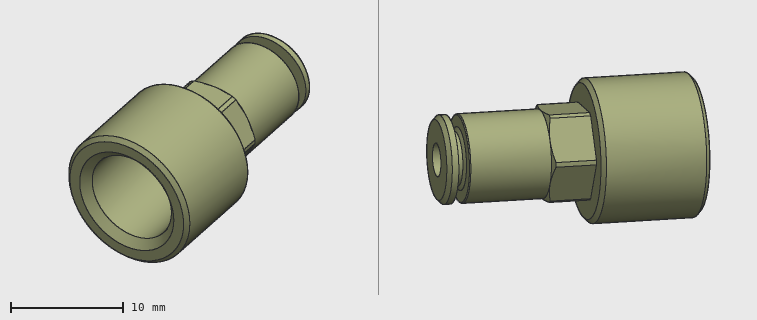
import cadquery as cq
import math


socket_diameter = 13.0
socket_length = 10.0
socket_chamfer = 0.4

hex_across_flats = 8.0
hex_corner_diameter = 9.0
hex_length = 4.0
hex_chamfer_angle = 30.0

sleeve_diameter = 8.0
sleeve_length = 7.5
sleeve_chamfer = 0.1
neck_diameter = 4.9
neck_length = 1.0
neck_fillet = 0.3
neck_cone_base_diameter = 5.7
neck_cone_slope = 30.0
ring_diameter = 8.0
ring_thickness = 1.0
ring_chamfer = 0.4

mouth_diameter = 10.1
mouth_chamfer_angle = 45.0
socket_bore_diameter = 8.5
socket_bore_depth = 8.5
floor_cone_angle = 135.0
through_bore_diameter = 3.0

hex_start = socket_length
sleeve_start = hex_start + hex_length
neck_start = sleeve_start + sleeve_length
ring_start = neck_start + neck_length
overall_length = ring_start + ring_thickness


def revolve_about_y(profile):
    """Close a radius-versus-Y profile and turn it a full circle about the Y axis."""
    return profile.close().revolve(360, (0, 0, 0), (0, 1, 0))


def cylinder_y(diameter, start, length):
    """Solid cylinder along +Y beginning at Y = start."""
    return cq.Workplane("XZ", origin=(0, start, 0)).circle(diameter / 2).extrude(-length)


def make_socket():
    """Large round body, chamfered at both ends."""
    return cylinder_y(socket_diameter, 0, socket_length).faces("<Y or >Y").chamfer(socket_chamfer)


def make_hex():
    """Hexagon with flats facing +Z and -Z, its corners turned round and chamfered at the sleeve end."""
    across_corners = hex_across_flats / math.cos(math.pi / 6)
    prism = (
        cq.Workplane("XZ", origin=(0, hex_start, 0))
        .polygon(6, across_corners)
        .extrude(-hex_length)
    )
    corner_radius = hex_corner_diameter / 2
    flat_radius = hex_across_flats / 2
    chamfer_length = (corner_radius - flat_radius) * math.tan(math.radians(hex_chamfer_angle))
    envelope = revolve_about_y(
        cq.Workplane("XY")
        .moveTo(0, hex_start)
        .lineTo(corner_radius, hex_start)
        .lineTo(corner_radius, sleeve_start - chamfer_length)
        .lineTo(flat_radius, sleeve_start)
        .lineTo(0, sleeve_start)
    )
    return prism.intersect(envelope)


def make_sleeve():
    """Round tube sleeve with a slightly broken outer edge."""
    return cylinder_y(sleeve_diameter, sleeve_start, sleeve_length).faces(">Y").chamfer(sleeve_chamfer)


def make_neck():
    """Neck between sleeve and release ring, with a shallow cone at the sleeve and a fillet at the ring."""
    neck_radius = neck_diameter / 2
    cone_base_radius = neck_cone_base_diameter / 2
    cone_length = (cone_base_radius - neck_radius) * math.tan(math.radians(neck_cone_slope))
    fillet_outer_radius = neck_radius + neck_fillet
    return revolve_about_y(
        cq.Workplane("XY")
        .moveTo(0, neck_start)
        .lineTo(cone_base_radius, neck_start)
        .lineTo(neck_radius, neck_start + cone_length)
        .lineTo(neck_radius, ring_start - neck_fillet)
        .radiusArc((fillet_outer_radius, ring_start), neck_fillet)
        .lineTo(0, ring_start)
    )


def make_ring():
    """Release ring flange, chamfered on its outer end."""
    return cylinder_y(ring_diameter, ring_start, ring_thickness).faces(">Y").chamfer(ring_chamfer)


def make_bore():
    """Chamfered socket bore with a conical floor leading into the through bore."""
    mouth_radius = mouth_diameter / 2
    socket_bore_radius = socket_bore_diameter / 2
    through_radius = through_bore_diameter / 2
    mouth_depth = (mouth_radius - socket_bore_radius) / math.tan(math.radians(mouth_chamfer_angle))
    floor_depth = (socket_bore_radius - through_radius) / math.tan(math.radians(floor_cone_angle / 2))
    return revolve_about_y(
        cq.Workplane("XY")
        .moveTo(0, 0)
        .lineTo(mouth_radius, 0)
        .lineTo(socket_bore_radius, mouth_depth)
        .lineTo(socket_bore_radius, socket_bore_depth)
        .lineTo(through_radius, socket_bore_depth + floor_depth)
        .lineTo(through_radius, overall_length)
        .lineTo(0, overall_length)
    )


outer_body = make_socket()
for section in (make_hex(), make_sleeve(), make_neck(), make_ring()):
    outer_body = outer_body.union(section)

result = outer_body.cut(make_bore())